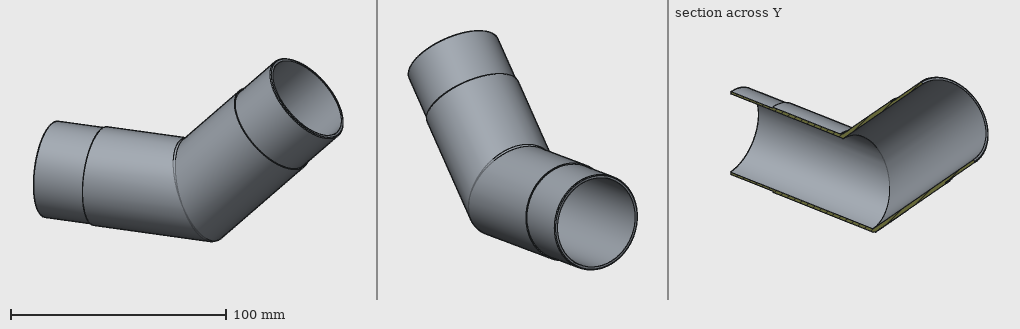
import cadquery as cq
import math

overall_length = 143.8
bend_angle = 45.0
body_diameter = 46.5
spigot_diameter = 45.3
bore_diameter = 42.3
spigot_length = 24.9
tip_chamfer = 0.5
joint_band = 0.9

body_radius = body_diameter / 2
spigot_radius = spigot_diameter / 2
bore_radius = bore_diameter / 2
bend = math.radians(bend_angle)

rim_reach = (spigot_radius - tip_chamfer) * math.sin(bend)
leg_length = (overall_length - rim_reach) / (1 + math.cos(bend))
body_length = leg_length - spigot_length

mitre_height = body_radius / math.cos(bend / 2)
joint_depth = joint_band * math.sin(bend / 2)

start_direction = cq.Vector(-1, 0, 0)
end_direction = cq.Vector(math.cos(bend), 0, math.sin(bend))
mitre_normal = cq.Vector(math.cos(bend / 2), 0, math.sin(bend / 2))


def leg_rod(direction, radius, length):
    """Rod leaving the mitre, started far enough back to cross the mitre plane."""
    overlap = body_diameter
    plane = cq.Plane(origin=(direction * -overlap).toTuple(), xDir=(0, 1, 0), normal=direction.toTuple())
    return cq.Workplane(plane).circle(radius).extrude(length + overlap)


def mitre_side(normal):
    """Large block filling one side of the mitre plane."""
    size = 4 * overall_length
    plane = cq.Plane(origin=(0, 0, 0), xDir=(0, 1, 0), normal=normal.toTuple())
    return cq.Workplane(plane).rect(size, size).extrude(size)


def chamfered_spigot(direction):
    end_face = cq.selectors.DirectionMinMaxSelector(direction, True)
    return leg_rod(direction, spigot_radius, leg_length).faces(end_face).edges().chamfer(tip_chamfer)


def outer_leg(direction, side):
    body = leg_rod(direction, body_radius, body_length)
    return body.union(chamfered_spigot(direction)).intersect(side)


def bore_leg(direction, side):
    return leg_rod(direction, bore_radius, leg_length).intersect(side)


def joint_workplane(length):
    """Mitre-parallel plane, with local y pointing to the inside of the bend."""
    origin = mitre_normal * (-length / 2)
    return cq.Workplane(cq.Plane(origin=origin.toTuple(), xDir=(0, 1, 0), normal=mitre_normal.toTuple()))


def half_ellipse_bar(height, length):
    """Half-ellipse bar through the joint; a negative height lies outside the bend."""
    ellipse = joint_workplane(length).ellipse(body_radius, abs(height)).extrude(length)
    half = joint_workplane(length).center(0, height).rect(2 * body_diameter, 2 * abs(height)).extrude(length)
    return ellipse.intersect(half)


def inside_wedge(height):
    """Wedge spreading from the bend axis to the width of the softened joint, twice as high as the bar."""
    up = cq.Vector(-math.sin(bend / 2), 0, math.cos(bend / 2)) * (2 * height)
    spread = mitre_normal * (2 * joint_band * math.cos(bend / 2))
    left = up - spread
    right = up + spread
    outline = [(0, 0), (left.x, left.z), (right.x, right.z)]
    return cq.Workplane("XZ").polyline(outline).close().extrude(body_diameter, both=True)


def block_above_joint():
    """Block holding everything on the inner side of the bend."""
    size = 2 * overall_length
    return joint_workplane(size).center(0, size / 2).rect(size, size).extrude(size)


start_side = mitre_side(-mitre_normal)
end_side = mitre_side(mitre_normal)

elbow = outer_leg(start_direction, start_side).union(outer_leg(end_direction, end_side))

inside_height = mitre_height + joint_depth
outside_height = mitre_height - joint_depth
inside_bar = half_ellipse_bar(inside_height, body_diameter)
elbow = elbow.union(inside_bar.intersect(inside_wedge(inside_height)))
outside_limit = half_ellipse_bar(-outside_height, 2 * overall_length)
elbow = elbow.intersect(outside_limit.union(block_above_joint()))

bore = bore_leg(start_direction, start_side).union(bore_leg(end_direction, end_side))
result = elbow.cut(bore).translate((leg_length, 0, 0))